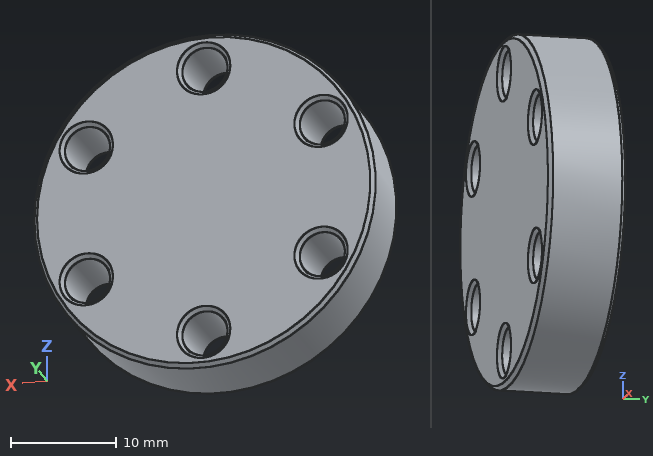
import cadquery as cq

disc_diameter = 34.0
thickness = 7.6
edge_chamfer = 0.4

hole_count = 6
bolt_circle_radius = 13.5
hole_diameter = 4.5
hole_chamfer = 0.4
first_hole_angle = 90.0


def make_disc():
    """Centred disc with both rims chamfered."""
    back_face = cq.Workplane("XZ", origin=(0, thickness / 2, 0))
    blank = back_face.circle(disc_diameter / 2).extrude(thickness)
    return blank.faces("<Y or >Y").edges().chamfer(edge_chamfer)


def make_hole_cutter():
    """Profile of one chamfered through hole, revolved about the Y axis."""
    radius = hole_diameter / 2
    mouth_radius = radius + hole_chamfer
    half = thickness / 2
    return (
        cq.Workplane("XY")
        .moveTo(0, -half)
        .lineTo(mouth_radius, -half)
        .lineTo(radius, -half + hole_chamfer)
        .lineTo(radius, half - hole_chamfer)
        .lineTo(mouth_radius, half)
        .lineTo(0, half)
        .close()
        .revolve(360, (0, 0, 0), (0, 1, 0))
    )


result = make_disc()
cutter = make_hole_cutter().translate((bolt_circle_radius, 0, 0))
for index in range(hole_count):
    angle = first_hole_angle + index * 360 / hole_count
    result = result.cut(cutter.rotate((0, 0, 0), (0, 1, 0), angle))